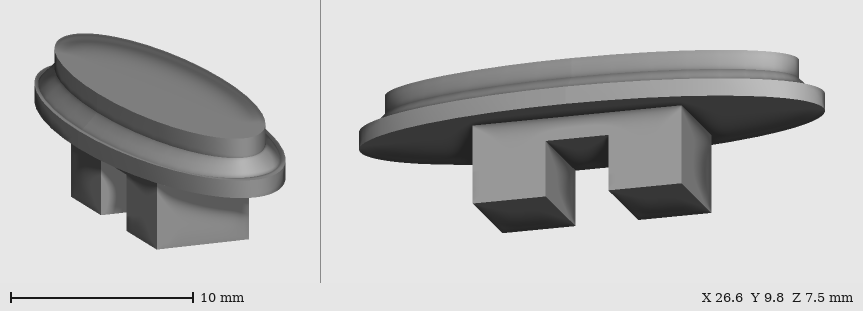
import cadquery as cq

flange_length = 26.6
flange_width = 9.8
cap_length = 23.7
cap_width = 7.5

flange_height = 1.0
cap_height = 2.0

corner_slope = 0.9

block_length = 12.0
block_width = 5.5
block_height = 4.5
slot_width = 3.6
slot_depth = 3.2


def oval_plate(length, width, height, bottom):
    """Straight-sided elliptical plate on Z = bottom, its two halves meeting on the Y axis."""
    half_length = length / 2
    half_width = width / 2
    return (
        cq.Workplane("XY", origin=(0, 0, bottom))
        .moveTo(0, -half_width)
        .ellipseArc(half_length, half_width, -90, 90, startAtCurrent=True)
        .ellipseArc(half_length, half_width, 90, 270, startAtCurrent=True)
        .close()
        .extrude(height)
    )


def oval_body():
    """Flange and cap, with a sloped fill all round the foot of the cap."""
    flange = oval_plate(flange_length, flange_width, flange_height, 0)
    cap = oval_plate(cap_length, cap_width, cap_height, flange_height)
    margin = (flange_width - cap_width) / 4
    reach_x = cap_length / 2 + margin
    reach_y = cap_width / 2 + margin
    cap_foot = cq.selectors.BoxSelector(
        (-reach_x, -reach_y, flange_height / 2),
        (reach_x, reach_y, flange_height + cap_height / 2),
        boundingbox=True,
    )
    return flange.union(cap).edges(cap_foot).chamfer(corner_slope)


def slotted_block():
    """Rectangular block hanging from the flange, with a slot through it along Y."""
    block = cq.Workplane("XY").rect(block_length, block_width).extrude(-block_height)
    slot = (
        cq.Workplane("XY", origin=(0, 0, -block_height))
        .rect(slot_width, block_width)
        .extrude(slot_depth)
    )
    return block.cut(slot)


result = oval_body().union(slotted_block())